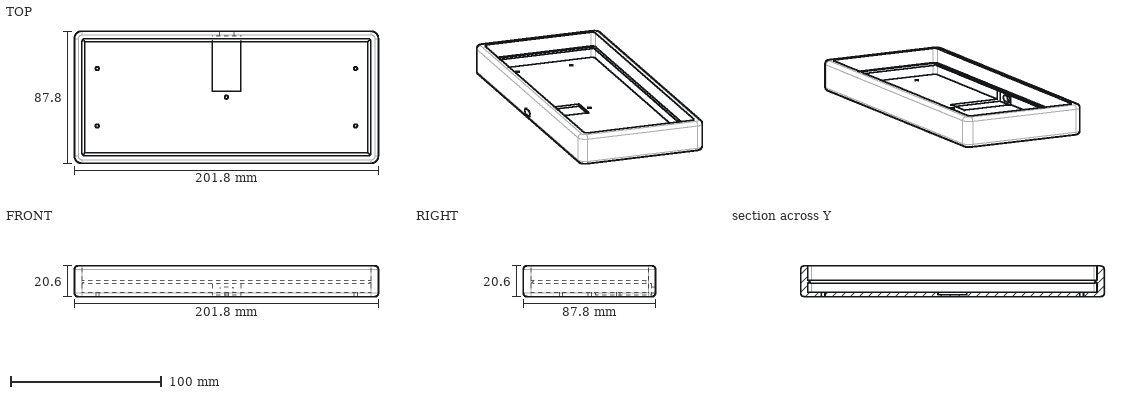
import cadquery as cq

LENGTH = 201.85
WIDTH = 87.85
HEIGHT = 20.6
CORNER_RADIUS = 5.0
RIM_FILLET = 2.5

WALL = 5.0
CAVITY_RADIUS = 2.25
FLOOR_Z = 3.0
LEDGE_Z = 11.0
LEDGE_WIDTH = 2.0
LEDGE_BOTTOM_Z = LEDGE_Z - LEDGE_WIDTH
CAVITY_LENGTH = LENGTH - 2 * WALL
CAVITY_WIDTH = WIDTH - 2 * WALL

KEY_PITCH = 19.05
SCREW_DIAMETER = 2.2
SCREW_X = 4.5 * KEY_PITCH
SCREW_Y = KEY_PITCH

POCKET_WIDTH = 19.0
POCKET_FRONT_Y = 3.9
POCKET_DEPTH = 1.6
POCKET_BOTTOM_Z = FLOOR_Z - POCKET_DEPTH
POCKET_WALL_RECESS = 2.0
POCKET_BACK_Y = WIDTH / 2 - WALL + POCKET_WALL_RECESS
POCKET_TOP_Z = LEDGE_BOTTOM_Z

PORT_WIDTH = 9.5
PORT_HEIGHT = 4.0
PORT_Z = 4.8


def rounded_block(length, width, radius, bottom_z):
    """Block with rounded upright corners, from bottom_z to the case top."""
    return (
        cq.Workplane("XY", origin=(0, 0, bottom_z))
        .rect(length, width)
        .extrude(HEIGHT - bottom_z)
        .edges("|Z")
        .fillet(radius)
    )


def case_body():
    body = rounded_block(LENGTH, WIDTH, CORNER_RADIUS, 0)
    return body.faces("<Z or >Z").edges().fillet(RIM_FILLET)


def ledge():
    """Ring with a flat top that narrows to nothing at its inner edge."""
    ring = (
        cq.Workplane("XY", origin=(0, 0, LEDGE_BOTTOM_Z))
        .rect(CAVITY_LENGTH, CAVITY_WIDTH)
        .extrude(LEDGE_WIDTH)
    )
    opening = (
        cq.Workplane("XY", origin=(0, 0, LEDGE_BOTTOM_Z))
        .rect(CAVITY_LENGTH, CAVITY_WIDTH)
        .workplane(offset=LEDGE_WIDTH)
        .rect(CAVITY_LENGTH - 2 * LEDGE_WIDTH, CAVITY_WIDTH - 2 * LEDGE_WIDTH)
        .loft(ruled=True)
    )
    return ring.cut(opening)


def cavity():
    opening = rounded_block(CAVITY_LENGTH, CAVITY_WIDTH, CAVITY_RADIUS, FLOOR_Z)
    return opening.cut(ledge())


def screw_holes():
    """Four outer holes and one at the centre."""
    corners = [(x, y) for x in (-SCREW_X, SCREW_X) for y in (-SCREW_Y, SCREW_Y)]
    return (
        cq.Workplane("XY")
        .pushPoints(corners + [(0, 0)])
        .circle(SCREW_DIAMETER / 2)
        .extrude(FLOOR_Z)
    )


def controller_pocket():
    """Floor recess that also bites into the back wall below the ledge."""
    return cq.Workplane("XY", origin=(0, POCKET_FRONT_Y, POCKET_BOTTOM_Z)).box(
        POCKET_WIDTH,
        POCKET_BACK_Y - POCKET_FRONT_Y,
        POCKET_TOP_Z - POCKET_BOTTOM_Z,
        centered=(True, False, False),
    )


def connector_port():
    """Rounded slot from the pocket to the outside of the back wall."""
    return (
        cq.Workplane("XZ", origin=(0, WIDTH / 2, PORT_Z))
        .slot2D(PORT_WIDTH, PORT_HEIGHT)
        .extrude(WIDTH / 2 - POCKET_BACK_Y)
    )


result = (
    case_body()
    .cut(cavity())
    .cut(screw_holes())
    .cut(controller_pocket())
    .cut(connector_port())
)